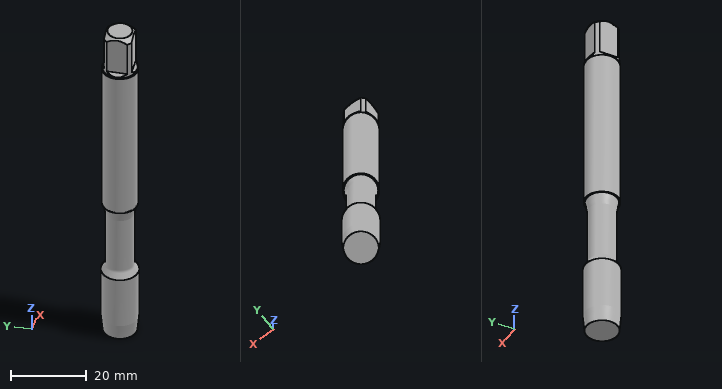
import cadquery as cq
import math

lead_top = 4.7
thread_top = 20.1
neck_top = 39.1
shank_bottom = 42.4
square_bottom = 88.9
overall_length = 100.1

tip_diameter = 9.3
thread_diameter = 10.2
neck_diameter = 7.9
flare_diameter = 9.0
shank_diameter = 9.7
drive_diameter = 9.3
drive_end_diameter = 6.6

shoulder_angle = math.radians(30)
shoulder_fillet = 1.5

square_width = 7.5
shank_chamfer = 1.3
end_chamfer = (drive_diameter - drive_end_diameter) / 2


def revolve_outline(outline):
    """Turn a closed outline, drawn as (radius, height), about the Z axis."""
    return outline.revolve(360, (0, 0, 0), (0, 1, 0))


def make_cutter():
    """Thread section with a tapered lead, a filleted conical shoulder and a flared neck."""
    neck_radius = neck_diameter / 2
    thread_radius = thread_diameter / 2
    cone_end = thread_top + (thread_radius - neck_radius) / math.tan(shoulder_angle)
    tangent_length = shoulder_fillet * math.tan(shoulder_angle / 2)

    def fillet_point(angle):
        """Point on the fillet where its tangent makes this angle with the axis."""
        return (
            neck_radius + shoulder_fillet * (1 - math.cos(angle)),
            cone_end + tangent_length - shoulder_fillet * math.sin(angle),
        )

    outline = (
        cq.Workplane("XZ")
        .lineTo(tip_diameter / 2, 0)
        .lineTo(thread_radius, lead_top)
        .lineTo(thread_radius, thread_top)
        .lineTo(*fillet_point(shoulder_angle))
        .threePointArc(fillet_point(shoulder_angle / 2), fillet_point(0))
        .lineTo(neck_radius, neck_top)
        .lineTo(flare_diameter / 2, shank_bottom)
        .lineTo(0, shank_bottom)
        .close()
    )
    return revolve_outline(outline)


def make_turned_shank():
    """Shank and drive end before the square is milled."""
    shank_top = square_bottom - shank_chamfer
    drive_start = shank_top + (shank_diameter - drive_diameter) / 2
    outline = (
        cq.Workplane("XZ")
        .moveTo(0, shank_bottom)
        .lineTo(shank_diameter / 2, shank_bottom)
        .lineTo(shank_diameter / 2, shank_top)
        .lineTo(drive_diameter / 2, drive_start)
        .lineTo(drive_diameter / 2, overall_length - end_chamfer)
        .lineTo(drive_end_diameter / 2, overall_length)
        .lineTo(0, overall_length)
        .close()
    )
    return revolve_outline(outline)


def make_square_cutaway():
    """Material milled away around the drive square, with sloped run-outs at its foot."""
    square_height = overall_length - square_bottom
    blank_width = 2 * shank_diameter
    blank = (
        cq.Workplane("XY").workplane(offset=square_bottom - shank_chamfer)
        .rect(blank_width, blank_width)
        .extrude(square_height + shank_chamfer)
    )
    square = (
        cq.Workplane("XY").workplane(offset=square_bottom)
        .rect(square_width, square_width).extrude(square_height)
    )
    foot_width = square_width + 2 * shank_chamfer
    foot = (
        cq.Workplane("XY").workplane(offset=square_bottom - shank_chamfer)
        .rect(foot_width, foot_width)
        .workplane(offset=shank_chamfer).rect(square_width, square_width)
        .loft(ruled=True)
    )
    return blank.cut(square).cut(foot)


cutter = make_cutter()
shank = make_turned_shank().cut(make_square_cutaway())

result = cq.Compound.makeCompound([cutter.val(), shank.val()])